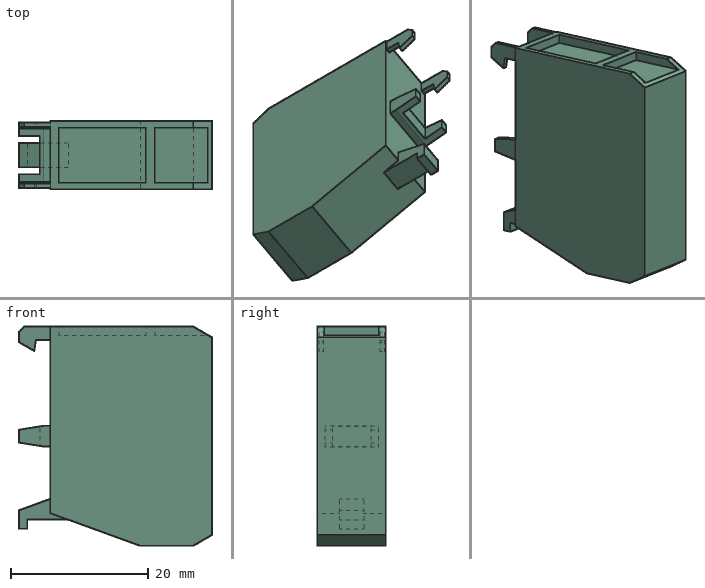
import cadquery as cq
import math

body_length = 23.6
body_width = 10.0
body_height = 32.0
bevel_length = 2.75
bevel_drop = 1.6
ramp_length = 13.1
ramp_angle = 20.0

clip_reach = 4.57

hook_thickness = 0.7
hook_inset = 0.2
hook_arm_height = 2.0
hook_bevel = 0.8
hook_nose_height = 2.3
hook_barb_length = 2.25
hook_barb_angle = 30.0
hook_throat_length = 2.5

fork_width = 7.75
fork_center_z = 16.0
fork_base_height = 3.05
fork_tip_height = 1.9
fork_base_length = 1.0
fork_web_length = 1.55
prong_thickness = 1.1

foot_width = 3.55
foot_root_z = 6.87
foot_arm_z = 3.82
foot_toe_z = 2.47
foot_toe_length = 1.25

pocket_depth = 1.25
pocket_width = 8.0
rear_pocket_start = 1.25
rear_pocket_end = 13.9
front_pocket_start = 15.25


def plate(points, thickness, center_y=0.0):
    """Extrude an XZ outline to a plate centred on center_y."""
    flat = cq.Workplane("XZ").polyline(points).close().extrude(thickness / 2, both=True)
    return flat.translate((0, center_y, 0))


def make_body():
    ramp_rise = ramp_length * math.tan(math.radians(ramp_angle))
    bevel_start = body_length - bevel_length
    return plate(
        [
            (0, ramp_rise),
            (ramp_length, 0),
            (bevel_start, 0),
            (body_length, bevel_drop),
            (body_length, body_height - bevel_drop),
            (bevel_start, body_height),
            (0, body_height),
        ],
        body_width,
    )


def make_hook(side):
    nose_z = body_height - hook_nose_height
    arm_z = body_height - hook_arm_height
    barb_z = nose_z - hook_barb_length * math.tan(math.radians(hook_barb_angle))
    center_y = side * (body_width / 2 - hook_inset - hook_thickness / 2)
    return plate(
        [
            (0, body_height),
            (hook_bevel - clip_reach, body_height),
            (-clip_reach, body_height - hook_bevel),
            (-clip_reach, nose_z),
            (hook_barb_length - clip_reach, barb_z),
            (hook_throat_length - clip_reach, arm_z),
            (0, arm_z),
        ],
        hook_thickness,
        center_y,
    )


def make_fork():
    half_base = fork_base_height / 2
    half_tip = fork_tip_height / 2
    blank = plate(
        [
            (0, fork_center_z - half_base),
            (0, fork_center_z + half_base),
            (-fork_base_length, fork_center_z + half_base),
            (-clip_reach, fork_center_z + half_tip),
            (-clip_reach, fork_center_z - half_tip),
            (-fork_base_length, fork_center_z - half_base),
        ],
        fork_width,
    )
    gap = cq.Workplane("XY").box(
        clip_reach - fork_web_length,
        fork_width - 2 * prong_thickness,
        fork_base_height,
        centered=(False, True, True),
    )
    return blank.cut(gap.translate((-clip_reach, 0, fork_center_z)))


def make_foot():
    slope = math.tan(math.radians(ramp_angle))
    arm_end = ramp_length - foot_arm_z / slope
    return plate(
        [
            (0, foot_root_z),
            (-clip_reach, foot_root_z - clip_reach * slope),
            (-clip_reach, foot_toe_z),
            (foot_toe_length - clip_reach, foot_toe_z),
            (foot_toe_length - clip_reach, foot_arm_z),
            (arm_end, foot_arm_z),
            (arm_end, foot_root_z),
        ],
        foot_width,
    )


def make_pocket(start, end):
    pocket = cq.Workplane("XY").box(
        end - start, pocket_width, pocket_depth, centered=(False, True, False)
    )
    return pocket.translate((start, 0, body_height - pocket_depth))


result = make_body()
for side in (-1, 1):
    result = result.union(make_hook(side))
result = result.union(make_fork()).union(make_foot())
result = result.cut(make_pocket(rear_pocket_start, rear_pocket_end))
result = result.cut(make_pocket(front_pocket_start, body_length))